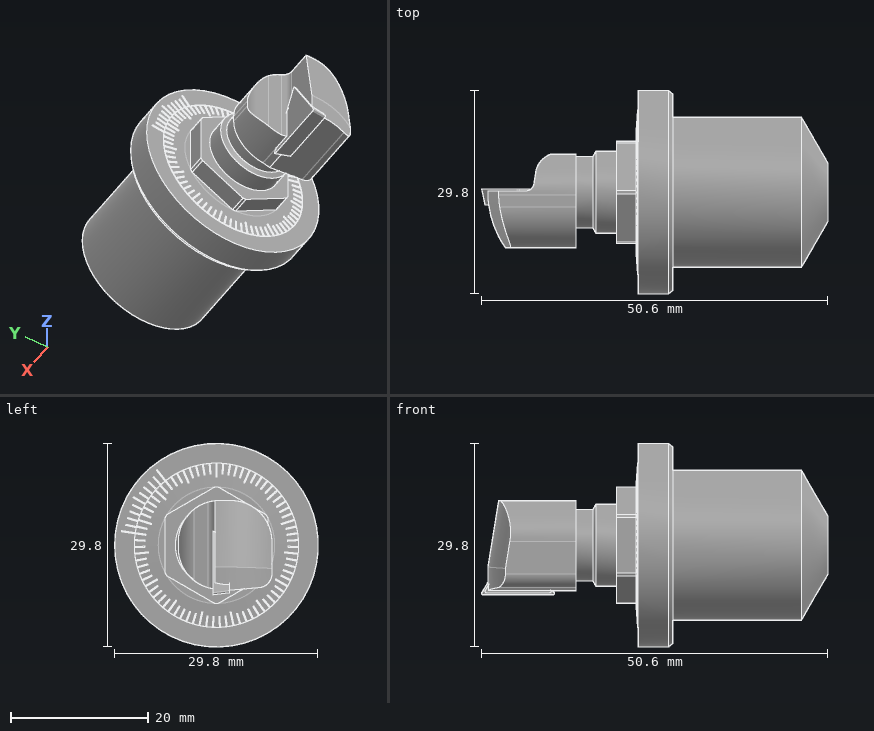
import cadquery as cq
import math

HEAD_BACK_X = 13.8
COLLAR_CHAMFER_X = 16.25
COLLAR_X = 16.7
NUT_X = 19.7
DIAL_X = 22.5
FLANGE_X = 22.9
FLANGE_BACK_X = 27.95
SHANK_CONE_X = 46.7
SHANK_END_X = 50.6

NECK_D = 10.5
COLLAR_D = 12.0
DIAL_INNER_D = 17.0
DIAL_OUTER_D = 24.0
DIAL_RIM_HEIGHT = 0.1
DIAL_RIM_X = FLANGE_X - DIAL_RIM_HEIGHT
FLANGE_D = 29.75
SHANK_D = 21.95
FLANGE_CHAMFER_LENGTH = 0.65
FLANGE_CHAMFER_DEPTH = 0.5
SHANK_CONE_SLOPE = 60.0
NUT_FLATS = 15.0

DIAL_TICKS = 75
VERNIER_TICKS = 11
MAJOR_EVERY = 5
DIAL_PITCH = 360.0 / DIAL_TICKS
VERNIER_PITCH = DIAL_PITCH * (VERNIER_TICKS - 2) / (VERNIER_TICKS - 1)
VERNIER_CENTRE_ANGLE = -60.0
MINOR_TICK_LENGTH = 1.55
MAJOR_TICK_LENGTH = 2.0
TICK_WIDTH = 0.15
TICK_DEPTH = 0.075

HEAD_TOP_Z = 6.55
HEAD_ROUND_R = 5.95
ROUND_CENTRE_Z = HEAD_TOP_Z - HEAD_ROUND_R
TOP_FLAT_FRONT_Y = -2.15
TOP_FLAT_BACK_Y = -0.4
HEAD_FRONT_Y = TOP_FLAT_FRONT_Y - HEAD_ROUND_R
HEAD_REAR_Y = TOP_FLAT_BACK_Y + HEAD_ROUND_R
LOWER_ROUND_CENTRE_Z = -0.45
LOWER_ROUND_END_Y = 0.5
BOTTOM_Y = -0.65
BOTTOM_Z = -6.7
BOTTOM_SLOPE = 5.0
FRONT_FILLET_R = 2.0

NOSE_X = 0.9
NOSE_R = 14.0
NOSE_TILT = 9.2
NOSE_BREAK_Z = -3.2

FACE_Y = 0.2
STEP_FILLET_X = 6.45
STEP_FILLET_R = 1.2
STEP_LEAN = 9.0
SHOULDER_Y = 3.3
SHOULDER_R = 3.5
SHOULDER_END_X = 10.05

INSERT_INSCRIBED_D = 6.35
INSERT_THICKNESS = 2.4
INSERT_NOSE_R = 0.2
INSERT_RELIEF = 7.0
INSERT_TOP_Y = 0.5
INSERT_EDGE_Z = -7.25

CLEARANCE = 5.05


def make_spindle():
    """Neck, collar, graduated dial, flange and tapered shank turned about X."""
    shank_end_r = SHANK_D / 2 - (SHANK_END_X - SHANK_CONE_X) * math.tan(math.radians(SHANK_CONE_SLOPE))
    flange_r = FLANGE_D / 2
    outline = [
        (HEAD_BACK_X, 0),
        (HEAD_BACK_X, NECK_D / 2),
        (COLLAR_CHAMFER_X, NECK_D / 2),
        (COLLAR_X, COLLAR_D / 2),
        (DIAL_X, COLLAR_D / 2),
        (DIAL_X, DIAL_INNER_D / 2),
        (DIAL_RIM_X, DIAL_OUTER_D / 2),
        (FLANGE_X, DIAL_OUTER_D / 2),
        (FLANGE_X, flange_r),
        (FLANGE_BACK_X - FLANGE_CHAMFER_LENGTH, flange_r),
        (FLANGE_BACK_X, flange_r - FLANGE_CHAMFER_DEPTH),
        (FLANGE_BACK_X, SHANK_D / 2),
        (SHANK_CONE_X, SHANK_D / 2),
        (SHANK_END_X, shank_end_r),
        (SHANK_END_X, 0),
    ]
    return cq.Workplane("XY").polyline(outline).close().revolve(360, (0, 0, 0), (1, 0, 0))


def make_nut():
    """Hexagon with two flats facing +Y and -Y and its corners turned round."""
    length = DIAL_X - NUT_X
    corner_d = NUT_FLATS / math.cos(math.pi / 6)
    plane = cq.Workplane("YZ", origin=(NUT_X, 0, 0))
    hexagon = plane.transformed(rotate=(0, 0, 30)).polygon(6, corner_d).extrude(length)
    return hexagon.intersect(plane.circle(DIAL_INNER_D / 2).extrude(length))


def tick_groove(start_r, end_r, start_x, end_x, angle):
    """Shallow radial groove in a face running from (start_r, start_x) to (end_r, end_x)."""
    points = [
        (start_x - TICK_DEPTH, start_r),
        (start_x + TICK_DEPTH, start_r),
        (end_x + TICK_DEPTH, end_r),
        (end_x - TICK_DEPTH, end_r),
    ]
    groove = cq.Workplane("XZ").polyline(points).close().extrude(TICK_WIDTH / 2, both=True)
    return groove.rotate((0, 0, 0), (1, 0, 0), angle).val()


def tick_length(index):
    """Radial length of a graduation, by its place in the scale."""
    return MAJOR_TICK_LENGTH if index % MAJOR_EVERY == 0 else MINOR_TICK_LENGTH


def make_dial_grooves():
    """Full ring of grooves running inwards from the rim of the conical dial."""
    rim_r = DIAL_OUTER_D / 2
    cone_slope = (DIAL_RIM_X - DIAL_X) / (rim_r - DIAL_INNER_D / 2)
    grooves = []
    for i in range(DIAL_TICKS):
        inner_r = rim_r - tick_length(i)
        inner_x = DIAL_RIM_X - tick_length(i) * cone_slope
        grooves.append(tick_groove(inner_r, rim_r, inner_x, DIAL_RIM_X, i * DIAL_PITCH))
    return cq.Compound.makeCompound(grooves)


def make_vernier_grooves():
    """Short arc of grooves running outwards from the dial rim on the flange face."""
    rim_r = DIAL_OUTER_D / 2
    grooves = []
    for i in range(VERNIER_TICKS):
        angle = VERNIER_CENTRE_ANGLE + (i - VERNIER_TICKS // 2) * VERNIER_PITCH
        grooves.append(tick_groove(rim_r, rim_r + tick_length(i), FLANGE_X, FLANGE_X, angle))
    return cq.Compound.makeCompound(grooves)


def make_head_blank():
    """Prism along X with rounded top corners and a sloping underside."""
    diagonal = HEAD_ROUND_R * math.sqrt(0.5)
    lower_drop = math.sqrt(HEAD_ROUND_R**2 - (LOWER_ROUND_END_Y - TOP_FLAT_BACK_Y) ** 2)
    corner_z = BOTTOM_Z + (BOTTOM_Y - HEAD_FRONT_Y) * math.tan(math.radians(BOTTOM_SLOPE))
    blank = (
        cq.Workplane("YZ")
        .moveTo(HEAD_FRONT_Y, corner_z)
        .lineTo(HEAD_FRONT_Y, ROUND_CENTRE_Z)
        .threePointArc(
            (TOP_FLAT_FRONT_Y - diagonal, ROUND_CENTRE_Z + diagonal),
            (TOP_FLAT_FRONT_Y, HEAD_TOP_Z),
        )
        .lineTo(TOP_FLAT_BACK_Y, HEAD_TOP_Z)
        .threePointArc(
            (TOP_FLAT_BACK_Y + diagonal, ROUND_CENTRE_Z + diagonal),
            (HEAD_REAR_Y, ROUND_CENTRE_Z),
        )
        .lineTo(HEAD_REAR_Y, LOWER_ROUND_CENTRE_Z)
        .threePointArc(
            (TOP_FLAT_BACK_Y + diagonal, LOWER_ROUND_CENTRE_Z - diagonal),
            (LOWER_ROUND_END_Y, LOWER_ROUND_CENTRE_Z - lower_drop),
        )
        .lineTo(BOTTOM_Y, BOTTOM_Z)
        .close()
        .extrude(HEAD_BACK_X)
    )
    front_edge = cq.selectors.NearestToPointSelector((HEAD_BACK_X / 2, HEAD_FRONT_Y, corner_z))
    return blank.edges(front_edge).fillet(FRONT_FILLET_R)


def make_nose_form():
    """Cylindrical end relief: upright below the break, leaning back above it."""
    height = HEAD_TOP_Z + CLEARANCE
    upright = cq.Workplane("XY").center(NOSE_X + NOSE_R, 0).circle(NOSE_R).extrude(2 * height, both=True)
    leaning = upright.rotate((NOSE_X, 0, NOSE_BREAK_Z), (NOSE_X, 1, NOSE_BREAK_Z), NOSE_TILT)
    return upright.intersect(leaning)


def make_face_relief():
    """Material removed behind the cutting face, ending in a filleted, rounded step."""
    lean = math.radians(STEP_LEAN)
    fillet_centre_y = FACE_Y + STEP_FILLET_R
    middle = (math.pi / 2 - lean) / 2
    fillet_mid = (
        STEP_FILLET_X + STEP_FILLET_R * math.sin(middle),
        fillet_centre_y - STEP_FILLET_R * math.cos(middle),
    )
    fillet_end = (
        STEP_FILLET_X + STEP_FILLET_R * math.cos(lean),
        fillet_centre_y - STEP_FILLET_R * math.sin(lean),
    )
    shoulder_x = fillet_end[0] + (SHOULDER_Y - fillet_end[1]) * math.tan(lean)
    outside_y = HEAD_REAR_Y + CLEARANCE
    return (
        cq.Workplane("XY")
        .moveTo(-CLEARANCE, FACE_Y)
        .lineTo(STEP_FILLET_X, FACE_Y)
        .threePointArc(fillet_mid, fillet_end)
        .lineTo(shoulder_x, SHOULDER_Y)
        .radiusArc((SHOULDER_END_X, HEAD_REAR_Y), SHOULDER_R)
        .lineTo(SHOULDER_END_X, outside_y)
        .lineTo(-CLEARANCE, outside_y)
        .close()
        .extrude(HEAD_TOP_Z + CLEARANCE, both=True)
    )


def make_insert():
    """Equilateral insert, largest at its +Y face, with small nose radii and side relief."""
    inradius = INSERT_INSCRIBED_D / 2
    nose_cut = INSERT_NOSE_R * (math.sqrt(3) - 1)
    centre_x = inradius * math.sqrt(3) - nose_cut
    centre_z = INSERT_EDGE_Z + inradius
    triangle = (
        cq.Workplane("XZ", origin=(centre_x, INSERT_TOP_Y, centre_z))
        .transformed(rotate=(0, 0, 90))
        .polygon(3, 4 * inradius)
        .extrude(INSERT_THICKNESS, taper=INSERT_RELIEF)
    )
    return triangle.edges("not(#Y)").fillet(INSERT_NOSE_R)


def make_holder(insert):
    """Head, spindle, nut, dial, flange and shank in one piece, with a pocket for the insert."""
    head = make_head_blank().intersect(make_nose_form()).cut(make_face_relief())
    spindle = make_spindle()
    spindle = spindle.cut(cq.Workplane(make_dial_grooves()))
    spindle = spindle.cut(cq.Workplane(make_vernier_grooves()))
    return spindle.union(make_nut()).union(head).cut(insert)


insert = make_insert()
holder = make_holder(insert)
result = cq.Compound.makeCompound([holder.solids().val(), insert.solids().val()])